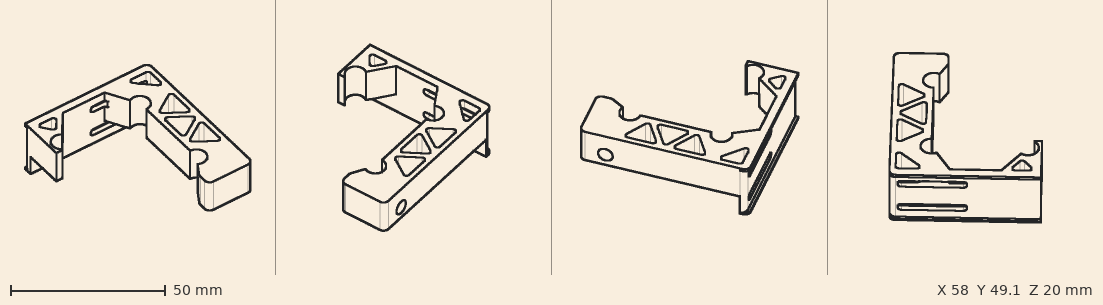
import cadquery as cq
import math

LENGTH = 58.0
WIDTH = 49.1
HEIGHT = 20.0

ARM_BOTTOM = 7.5
PLATE_INNER_X = 3.1
BACK_ARM_DEPTH = 17.8
FRONT_ARM_LENGTH = 17.3
FRONT_LIP_WIDTH = 2.5
CORNER_RADIUS = 2.0

RECESS_DEPTH = 1.0
TOP_LIP_HEIGHT = 1.0
BOTTOM_LIP_HEIGHT = 0.6

SEAT_RADIUS = 3.5
SEAT_PITCH = 31.3
SEAT_LEFT_X = 13.95
SEAT_RIGHT_X = SEAT_LEFT_X + SEAT_PITCH
SEAT_BACK_Y = WIDTH - 13.3
SEAT_FRONT_Y = SEAT_BACK_Y - SEAT_PITCH
BACK_GUSSET_ANGLE = 30.0
FRONT_GUSSET_ANGLE = 37.5

WINDOW_RADIUS = 1.0
TRUSS_MARGIN = 2.0
TRUSS_PITCH = 8.4
TRUSS_HALF_BASE = 6.0
CORNER_WINDOW_LEG_X = 8.8
CORNER_WINDOW_LEG_Y = 9.2
FRONT_WINDOW_CENTER_Y = 6.2
FRONT_WINDOW_HALF_BASE = 4.2
FRONT_WINDOW_REACH = 5.35

SLOT_WIDTH = 2.5
SLOT_LENGTH = 22.5
SLOT_BACK_MARGIN = 2.7
SLOT_FLOOR_X = 4.0
SLOT_PITCH = 10.2
SLOT_MID_Z = HEIGHT / 2

BORE_DIAMETER = 5.0
BORE_DEPTH = 9.9
BORE_X = 49.1
BORE_Z = 12.0


def prism(points):
    """Full-height upright block with a polygonal outline."""
    return cq.Workplane("XY").polyline(points).close().extrude(HEIGHT)


def box(x_range, y_range, z_range):
    """Axis-aligned block between the given limits."""
    size = [high - low for low, high in (x_range, y_range, z_range)]
    corner = (x_range[0], y_range[0], z_range[0])
    return cq.Workplane("XY").box(*size, centered=False).translate(corner)


def make_frame():
    """Full-height C-shaped body whose gussets all point at the seat centres."""
    back_slope = math.tan(math.radians(BACK_GUSSET_ANGLE))
    front_slope = math.tan(math.radians(FRONT_GUSSET_ANGLE))
    gusset_run = SEAT_LEFT_X - PLATE_INNER_X
    back_arm_y = WIDTH - BACK_ARM_DEPTH
    foot_x = SEAT_RIGHT_X + (SEAT_BACK_Y - back_arm_y) / back_slope
    outline = [
        (0, 0),
        (FRONT_ARM_LENGTH, 0),
        (FRONT_ARM_LENGTH, FRONT_LIP_WIDTH),
        (SEAT_LEFT_X, FRONT_LIP_WIDTH),
        (SEAT_LEFT_X, SEAT_FRONT_Y),
        (PLATE_INNER_X, SEAT_FRONT_Y + gusset_run * front_slope),
        (PLATE_INNER_X, SEAT_BACK_Y - gusset_run * back_slope),
        (SEAT_LEFT_X, SEAT_BACK_Y),
        (SEAT_RIGHT_X, SEAT_BACK_Y),
        (foot_x, back_arm_y),
        (LENGTH, back_arm_y),
        (LENGTH, WIDTH),
        (0, WIDTH),
    ]
    rounded_corners = [(foot_x, back_arm_y), (LENGTH, back_arm_y), (LENGTH, WIDTH), (0, WIDTH)]
    frame = prism(outline)
    for x, y in rounded_corners:
        corner_edge = cq.selectors.NearestToPointSelector((x, y, HEIGHT / 2))
        frame = frame.edges(corner_edge).fillet(CORNER_RADIUS)
    return frame


def make_underside():
    """Space below the arms, which leaves only the side plate at full height."""
    return box((PLATE_INNER_X, LENGTH), (0, WIDTH), (0, ARM_BOTTOM))


def make_recess():
    """Shallow channel between the lips; it follows the rounded back corner of the plate."""
    z_range = (BOTTOM_LIP_HEIGHT, HEIGHT - TOP_LIP_HEIGHT)
    channel = box((0, RECESS_DEPTH + CORNER_RADIUS), (0, WIDTH), z_range)
    kept = box((RECESS_DEPTH, LENGTH), (0, WIDTH), z_range)
    kept = kept.edges("|Z and <X and >Y").fillet(CORNER_RADIUS)
    return channel.cut(kept)


def make_seats():
    """Cylinders for the three seats, through the full height."""
    centers = [
        (SEAT_LEFT_X, SEAT_FRONT_Y),
        (SEAT_LEFT_X, SEAT_BACK_Y),
        (SEAT_RIGHT_X, SEAT_BACK_Y),
    ]
    return cq.Workplane("XY").pushPoints(centers).circle(SEAT_RADIUS).extrude(HEIGHT)


def make_window(points):
    """Triangular through window with rounded corners."""
    return prism(points).edges("|Z").fillet(WINDOW_RADIUS)


def make_windows():
    """Corner window, three alternating truss windows and the front arm window."""
    back_y = WIDTH - TRUSS_MARGIN
    front_y = SEAT_BACK_Y + TRUSS_MARGIN
    windows = [
        make_window([
            (PLATE_INNER_X, back_y),
            (PLATE_INNER_X, back_y - CORNER_WINDOW_LEG_Y),
            (PLATE_INNER_X + CORNER_WINDOW_LEG_X, back_y),
        ]),
        make_window([
            (PLATE_INNER_X, FRONT_WINDOW_CENTER_Y - FRONT_WINDOW_HALF_BASE),
            (PLATE_INNER_X + FRONT_WINDOW_REACH, FRONT_WINDOW_CENTER_Y),
            (PLATE_INNER_X, FRONT_WINDOW_CENTER_Y + FRONT_WINDOW_HALF_BASE),
        ]),
    ]
    truss_center_x = (SEAT_LEFT_X + SEAT_RIGHT_X) / 2
    for step in (-1, 0, 1):
        center_x = truss_center_x + step * TRUSS_PITCH
        base_y, tip_y = (front_y, back_y) if step == 0 else (back_y, front_y)
        windows.append(make_window([
            (center_x - TRUSS_HALF_BASE, base_y),
            (center_x + TRUSS_HALF_BASE, base_y),
            (center_x, tip_y),
        ]))
    return windows


def make_slots():
    """Two round-ended slots from the left; the upper one also bites into the back gusset."""
    center_y = WIDTH - SLOT_BACK_MARGIN - SLOT_LENGTH / 2
    centers = [(center_y, SLOT_MID_Z + side * SLOT_PITCH / 2) for side in (-1, 1)]
    return cq.Workplane("YZ").pushPoints(centers).slot2D(SLOT_LENGTH, SLOT_WIDTH).extrude(SLOT_FLOOR_X)


def make_bore():
    """Flat-bottomed bore running forward from the back face."""
    back_face = cq.Workplane("XZ", origin=(BORE_X, WIDTH, BORE_Z))
    return back_face.circle(BORE_DIAMETER / 2).extrude(BORE_DEPTH)


result = make_frame().cut(make_underside())
result = result.cut(make_recess()).cut(make_seats()).cut(make_slots()).cut(make_bore())
for window in make_windows():
    result = result.cut(window)